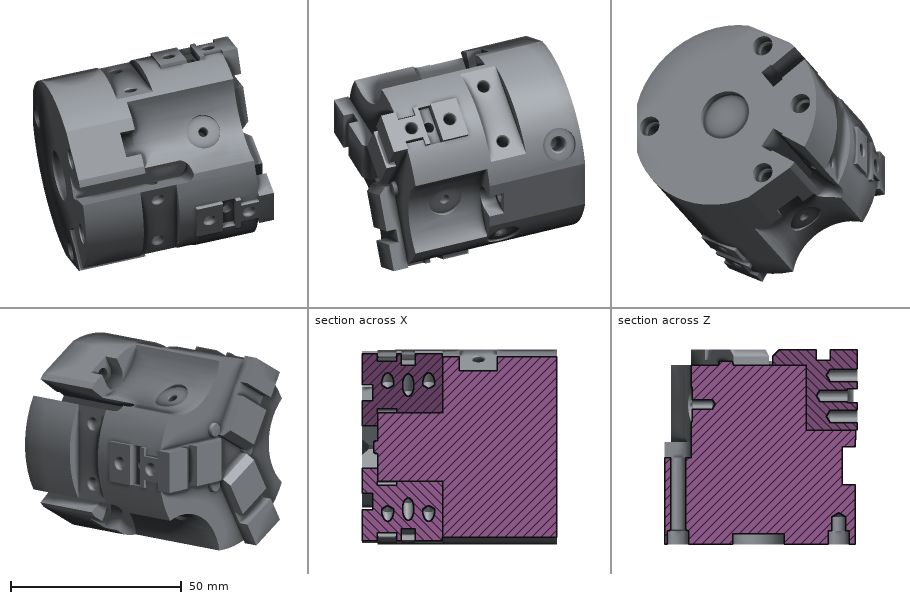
import cadquery as cq
import math


housing_radius = 28.5
housing_length = 52.5
jaw_angles = (0, 120, 240)
recess_angles = (60, 180, 300)
recess_starts = (20.0, 30.0, 20.0)

recess_radius = 16.4
recess_axis_radius = 36.2
flat_radius = 27.5

mount_circle_radius = 23.5
head_pocket_width = 7.5
head_pocket_depth = 4.5
sleeve_diameter = 6.1
sleeve_depth = 4.0
dowel_angle = 0
dowel_hole_diameter = 4.0
dowel_hole_depth = 8.0
center_bore_diameter = 15.0
center_bore_depth = 3.0

m5_drill = 4.2
m5_mouth = 5.1
m4_drill = 3.5
m4_mouth = 4.1
m3_drill = 2.6
m3_mouth = 3.1
drill_tip_angle = 118.0

spot_diameter = 10.0
spot_radius = 27.5
port_places = ((150, 7.0), (210, 24.5))
port_depth = 8.0
recess_spot_radius = 19.5
recess_spot_y = 41.0
recess_hole_depth = 6.0

side_flat_angles = (0, 120)
side_flat_radius = 24.6
side_flat_start = 17.5
side_flat_width = 11.0
side_hole_spacing = 18.0
side_hole_depth = 8.0

sensor_slot_angles = (-35, 35)
sensor_slot_width = 5.4
sensor_slot_end_y = 31.5
sensor_pocket_width = 6.4
sensor_pocket_inner_radius = 16.1
sensor_pocket_outer_radius = 19.75

button_circle_radius = 9.5
button_base_radius = 2.2
button_height = 1.15

jaw_width = 12.0
jaw_outer_radius = 29.0
jaw_inner_radius = 14.0
jaw_start = 33.5
jaw_end = 57.0
cover_start = 47.0
neck_width = 7.0
neck_clearance = 0.5
head_inner_radius = 4.1
head_chamfer = 2.0
cross_slot_y = 43.5
cross_slot_width = 4.0
cross_slot_floor_radius = 26.0
face_slot_radius = 19.0
face_slot_width = 4.0
face_slot_depth = 3.0
jaw_hole_pitch = 12.0
jaw_hole_depth = 8.0
cross_slot_hole_diameter = 3.2

past_surface = 5.0


def turned(shape, angle):
    """Turn a shape about the Y axis, from +X towards +Z."""
    return shape.rotate((0, 0, 0), (0, 1, 0), -angle)


def block(x_start, x_end, y_start, y_end, width):
    """Box lying along +X, centred on z = 0."""
    size = (x_end - x_start, y_end - y_start, width)
    corner = (x_start, y_start, -width / 2)
    return cq.Workplane("XY").box(*size, centered=False).translate(corner)


def cylinder_along_y(radius, y_start, y_end, x=0.0):
    start = cq.Vector(x, y_start, 0)
    return cq.Workplane(cq.Solid.makeCylinder(radius, y_end - y_start, start, cq.Vector(0, 1, 0)))


def cylinder_along_x(diameter, x_start, x_end, y):
    start = cq.Vector(x_start, y, 0)
    return cq.Workplane(cq.Solid.makeCylinder(diameter / 2, x_end - x_start, start, cq.Vector(1, 0, 0)))


def drilled_hole(start, direction, diameter, depth, mouth=None):
    """Blind hole with a drill point and, if a mouth is given, a 45 degree countersink."""
    start = cq.Vector(*start)
    direction = cq.Vector(*direction)
    radius = diameter / 2
    tip_length = radius / math.tan(math.radians(drill_tip_angle / 2))
    hole = cq.Workplane(cq.Solid.makeCylinder(radius, depth, start, direction))
    tip_start = start + direction * depth
    hole = hole.union(cq.Workplane(cq.Solid.makeCone(radius, 0, tip_length, tip_start, direction)))
    if mouth:
        countersink = cq.Solid.makeCone(mouth / 2, radius, (mouth - diameter) / 2, start, direction)
        hole = hole.union(cq.Workplane(countersink))
    return hole


def radial_hole(x, y, diameter, depth, mouth=None, z=0.0):
    return drilled_hole((x, y, z), (-1, 0, 0), diameter, depth, mouth)


def recess_side_cut(recess_start):
    """Everything cut at one recess: the recess, flat, screw hole and spot face."""
    outside = housing_radius + past_surface
    pocket_start = recess_start - head_pocket_depth
    cut = cylinder_along_y(recess_radius, recess_start, housing_length, recess_axis_radius)
    cut = cut.union(block(flat_radius, outside, 0, recess_start, 2 * housing_radius))

    cut = cut.union(cylinder_along_y(head_pocket_width / 2, pocket_start, recess_start, mount_circle_radius))
    cut = cut.union(block(mount_circle_radius, outside, pocket_start, recess_start, head_pocket_width))

    lead_in = (m5_mouth - m5_drill) / 2
    sleeve_floor = cq.Vector(mount_circle_radius, sleeve_depth, 0)
    countersink = cq.Solid.makeCone(m5_mouth / 2, m5_drill / 2, lead_in, sleeve_floor, cq.Vector(0, 1, 0))
    cut = cut.union(cylinder_along_y(m5_drill / 2, 0, recess_start, mount_circle_radius))
    cut = cut.union(cylinder_along_y(sleeve_diameter / 2, 0, sleeve_depth, mount_circle_radius))
    cut = cut.union(cq.Workplane(countersink))

    cut = cut.union(cylinder_along_x(spot_diameter, recess_spot_radius, outside, recess_spot_y))
    return cut.union(radial_hole(recess_spot_radius, recess_spot_y, m3_drill, recess_hole_depth, m3_mouth))


def air_port(y):
    spot = cylinder_along_x(spot_diameter, spot_radius, housing_radius + past_surface, y)
    return spot.union(radial_hole(spot_radius, y, m5_drill, port_depth, m5_mouth))


def side_flat():
    flat_end = side_flat_start + side_flat_width
    outside = housing_radius + past_surface
    cut = block(side_flat_radius, outside, side_flat_start, flat_end, 2 * housing_radius)
    hole_y = side_flat_start + side_flat_width / 2
    for z in (-side_hole_spacing / 2, side_hole_spacing / 2):
        cut = cut.union(radial_hole(side_flat_radius, hole_y, m4_drill, side_hole_depth, m4_mouth, z))
    return cut


def round_ended_groove(width, x_start, x_end):
    groove = block(x_start, x_end, 0, sensor_slot_end_y, width)
    return groove.union(cylinder_along_x(width, x_start, x_end, sensor_slot_end_y))


def sensor_slot():
    pocket = round_ended_groove(sensor_pocket_width, sensor_pocket_inner_radius, sensor_pocket_outer_radius)
    outside = housing_radius + past_surface
    return pocket.union(round_ended_groove(sensor_slot_width, sensor_pocket_inner_radius, outside))


def jaw_guide():
    """T-shaped guide in which one jaw slides."""
    outside = housing_radius + past_surface
    guide = block(jaw_inner_radius, outside, jaw_start, cover_start, jaw_width)
    neck_slot_width = neck_width + 2 * neck_clearance
    return guide.union(block(jaw_inner_radius, outside, cover_start, housing_length, neck_slot_width))


def dowel_hole():
    start = (mount_circle_radius, 0, 0)
    hole = drilled_hole(start, (0, 1, 0), dowel_hole_diameter, dowel_hole_depth)
    return hole.union(cylinder_along_y(sleeve_diameter / 2, 0, sleeve_depth, mount_circle_radius))


def button_head():
    """Ball zone with its equator on the cover and a flat top."""
    center = cq.Vector(button_circle_radius, housing_length, 0)
    top_latitude = math.degrees(math.asin(button_height / button_base_radius))
    axis = cq.Vector(0, 1, 0)
    return cq.Workplane(cq.Solid.makeSphere(button_base_radius, center, axis, 0, top_latitude, 360))


def make_housing():
    body = cylinder_along_y(housing_radius, 0, housing_length)
    body = body.cut(cylinder_along_y(center_bore_diameter / 2, 0, center_bore_depth))
    for angle, recess_start in zip(recess_angles, recess_starts):
        body = body.cut(turned(recess_side_cut(recess_start), angle))
        body = body.union(turned(button_head(), angle))
    for angle in jaw_angles:
        body = body.cut(turned(jaw_guide(), angle))
    for angle in side_flat_angles:
        body = body.cut(turned(side_flat(), angle))
    for angle in sensor_slot_angles:
        body = body.cut(turned(sensor_slot(), angle))
    for angle, y in port_places:
        body = body.cut(turned(air_port(y), angle))
    return body.cut(turned(dowel_hole(), dowel_angle))


def jaw_head():
    """Gripping head above the cover, chamfered at its inner end."""
    head = block(head_inner_radius, jaw_outer_radius, housing_length, jaw_end, jaw_width)
    return head.edges("<X and >Y").chamfer(head_chamfer)


def make_jaw():
    jaw = block(jaw_inner_radius, jaw_outer_radius, jaw_start, cover_start, jaw_width)
    jaw = jaw.union(block(jaw_inner_radius, jaw_outer_radius, cover_start, housing_length, neck_width))
    jaw = jaw.union(jaw_head())

    slot_start = cross_slot_y - cross_slot_width / 2
    slot_end = cross_slot_y + cross_slot_width / 2
    jaw = jaw.cut(block(cross_slot_floor_radius, jaw_outer_radius, slot_start, slot_end, jaw_width))
    floor_hole = radial_hole(cross_slot_floor_radius, cross_slot_y, cross_slot_hole_diameter, jaw_hole_depth)
    jaw = jaw.cut(floor_hole)

    for y in (cross_slot_y - jaw_hole_pitch / 2, cross_slot_y + jaw_hole_pitch / 2):
        jaw = jaw.cut(radial_hole(jaw_outer_radius, y, m4_drill, jaw_hole_depth, m4_mouth))

    face_slot_start = face_slot_radius - face_slot_width / 2
    face_slot_end = face_slot_radius + face_slot_width / 2
    return jaw.cut(block(face_slot_start, face_slot_end, jaw_end - face_slot_depth, jaw_end, jaw_width))


housing = make_housing()
jaws = [turned(make_jaw(), angle) for angle in jaw_angles]

result = cq.Compound.makeCompound([housing.solids().val(), *[jaw.solids().val() for jaw in jaws]])